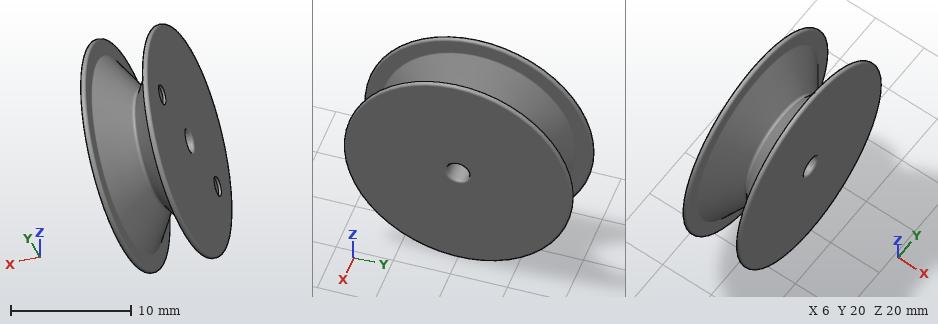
import cadquery as cq

width = 6.0
rim_radius = 10.0
flange_thickness = 0.5
groove_mouth_radius = 8.5
groove_root_radius = 5.0
bore_radius = 1.0
edge_radius = 0.2
recess_radius = 0.85
recess_offset = 6.5
recess_depth = 0.25

half_width = width / 2
groove_half_width = half_width - flange_thickness


def make_wheel():
    """Revolve the bored V-groove section, with every section corner rounded."""
    section = (
        cq.Workplane("XY")
        .moveTo(-half_width, bore_radius)
        .lineTo(-half_width, rim_radius)
        .lineTo(-groove_half_width, rim_radius)
        .lineTo(-groove_half_width, groove_mouth_radius)
        .lineTo(0, groove_root_radius)
        .lineTo(groove_half_width, groove_mouth_radius)
        .lineTo(groove_half_width, rim_radius)
        .lineTo(half_width, rim_radius)
        .lineTo(half_width, bore_radius)
        .close()
    )
    wheel = section.revolve(360, (0, 0, 0), (1, 0, 0))
    return wheel.edges("%CIRCLE").fillet(edge_radius)


def make_recesses():
    """Two shallow round recesses in the -X face, either side of the bore."""
    return (
        cq.Workplane("YZ", origin=(-half_width, 0, 0))
        .pushPoints([(-recess_offset, 0), (recess_offset, 0)])
        .circle(recess_radius)
        .extrude(recess_depth)
    )


result = make_wheel().cut(make_recesses())